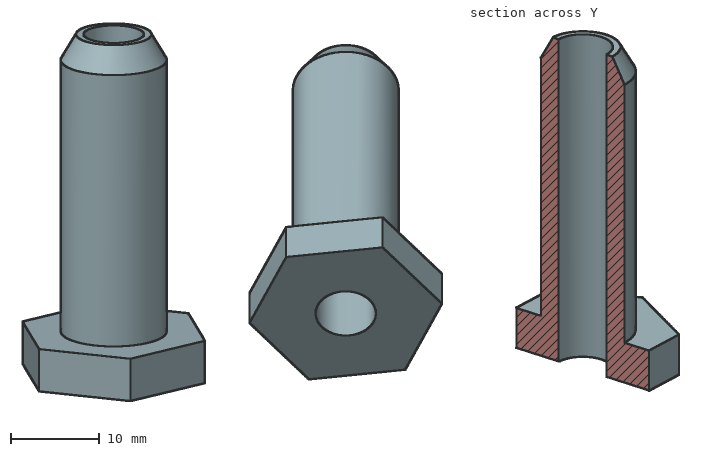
import cadquery as cq
import math

total_height = 40.0
head_across_flats = 19.0
head_height = 5.0
shank_diameter = 12.0
tip_diameter = 8.5
tip_half_angle = 30.0
bore_diameter = 6.8

head_across_corners = head_across_flats / math.cos(math.radians(30))
tip_setback = (shank_diameter - tip_diameter) / 2
tip_height = tip_setback / math.tan(math.radians(tip_half_angle))


def hex_head():
    """Hexagonal head with flats facing +X and -X."""
    return (
        cq.Workplane("XY")
        .polygon(6, head_across_corners)
        .extrude(head_height)
        .rotate((0, 0, 0), (0, 0, 1), 30)
    )


def tapered_shank():
    """Round shank with a conical tip, revolved about the Z axis."""
    return (
        cq.Workplane("XZ")
        .moveTo(0, 0)
        .lineTo(shank_diameter / 2, 0)
        .lineTo(shank_diameter / 2, total_height - tip_height)
        .lineTo(tip_diameter / 2, total_height)
        .lineTo(0, total_height)
        .close()
        .revolve(360, (0, 0, 0), (0, 1, 0))
    )


def through_bore():
    """Cylinder removed along the full height."""
    return cq.Workplane("XY").circle(bore_diameter / 2).extrude(total_height)


result = hex_head().union(tapered_shank()).cut(through_bore())